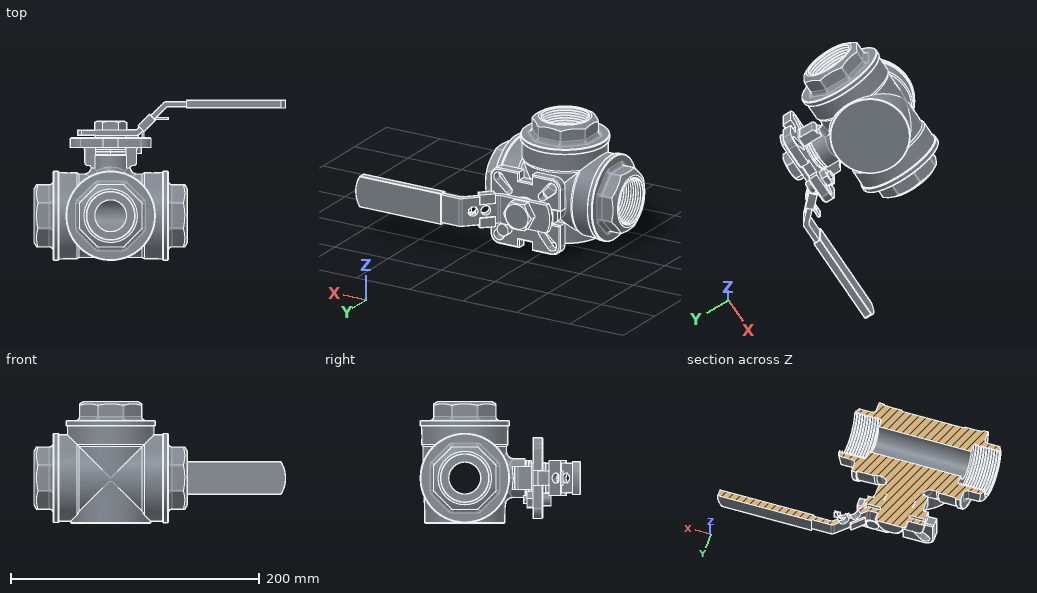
import cadquery as cq
import math

port_reach = 61.9
flange_outer = 46.5
flange_inner = 42.5
flange_dia = 72.0
flange_edge = 0.6
socket_dia = 70.0
socket_draft = 0.2
socket_end = 27.2
barrel_start = 25.4
barrel_radius = 33.7
octagon_flats = 50.3
octagon_edge = 1.2
octagon_foot = 3.0
cap_end_radius = 21.5
cap_chamfer_angle = 30

bore_dia = 25.5
thread_minor = 38.5
thread_major = 41.8
thread_mouth = 39.2
thread_pitch = 2.2
thread_turns = 10

base_bottom = -36.5
base_bottom_radius = 32.3
base_edge = 0.6

neck_dia = 31.5
neck_top = 48.7
neck_blend = 5.7
neck_joint_low = 28.5
leg_inner = 12.2
leg_outer = 21.0
leg_half_width = 9.3
leg_bottom = 40.4
leg_round = 2.5
leg_root_outer = 16.6
leg_root_bottom = 38.4
leg_root_chamfer = 1.6
leg_shoulder = 0.6
leg_shoulder_height = 1.2

plate_bottom = 55.0
plate_top = 63.1
plate_side = 65.3
plate_corner = 8.3
plate_edge = 1.0
notch_width = 12.2
notch_depth = 7.1
inner_hole_offset = 15.6
inner_hole_dia = 6.7
outer_hole_offset = 24.8
outer_hole_dia = 9.0

stem_dia = 24.0
gland_nut_corners = 28.6
gland_nut_bottom = 49.5
gland_nut_height = 1.8
gland_nut_gap = 0.5
washer_dia = 25.0
nut_corners = 26.0
nut_top = 76.5
nut_round_dia = 21.3

stop_offset = 17.2
stop_head_dia = 10.3
stop_head_top = 69.6
stop_shank_dia = 6.7
stop_shank_end = 47.5
stop_nut_flats = 13.0
stop_nut_turn = -5
stop_nut_end = 50.1

lever_thickness = 4.3
lever_width = 24.0
lever_low = 67.0
lever_high = 89.9
lever_back = -26.5
lever_bend = 21.5
lever_bend_round = 3.0
lever_end_dia = 49.0
lever_hole_dia = 8.0
lever_hole_heights = (75.5, 83.0)
grip_start = 61.3
grip_overlap = 2.0
grip_end = 141.0
grip_thickness = 6.5
grip_width = 26.5
grip_edge = 0.5

slide_length = 13.0
slide_thickness = 7.0
slide_shift = 0.2
slide_width = 28.5
slide_window = 11.8
slide_centre_height = 74.7
tab_thickness = 1.8
tab_width = 11.8
finger_tab_end = 46.5
finger_tab_height = 78.3
lock_tab_start = 25.2
lock_tab_bottom = 58.8

pick_margin = 0.2


def on_x(shape, sign):
    """Turn a shape built along +Z so that it points along +X or -X."""
    return shape.rotate((0, 0, 0), (0, 1, 0), 90 * sign)


def three_ways(shape):
    """Copies of a shape built along +Z that point along +Z, +X and -X."""
    return [shape, on_x(shape, 1), on_x(shape, -1)]


def disc(diameter, start, end, x=0, z=0):
    """Cylinder along Y between two heights."""
    plane = cq.Workplane("XZ", origin=(x, start, z))
    return plane.circle(diameter / 2).extrude(start - end)


def hexagon(corners, start, end, turn=0):
    """Hexagonal prism along Y, its corners on the X axis before it is turned."""
    prism = cq.Workplane("XZ", origin=(0, start, 0)).polygon(6, corners).extrude(start - end)
    return prism.rotate((0, 0, 0), (0, 1, 0), turn)


def block(x, y, z):
    """Box given by its (low, high) limits along each axis."""
    size = [high - low for low, high in (x, y, z)]
    corner = (x[0], y[0], z[0])
    return cq.Workplane("XY").box(*size, centered=False).translate(corner)


def port_body():
    """Barrel, socket and cap flange, as a turned shape along +Z."""
    socket_radius = socket_dia / 2
    flange_radius = flange_dia / 2
    return (
        cq.Workplane("XZ")
        .moveTo(0, 0)
        .lineTo(barrel_radius, 0)
        .lineTo(barrel_radius, barrel_start)
        .lineTo(socket_radius - socket_draft, socket_end)
        .lineTo(socket_radius, flange_inner - flange_edge)
        .lineTo(flange_radius - flange_edge, flange_inner - flange_edge)
        .lineTo(flange_radius, flange_inner)
        .lineTo(flange_radius, flange_outer - flange_edge)
        .lineTo(flange_radius - flange_edge, flange_outer)
        .lineTo(0, flange_outer)
        .close()
        .revolve(360, (0, 0, 0), (0, 1, 0))
    )


def port_cap():
    """Octagonal cap with a conical end."""
    cap = (
        cq.Workplane("XY", origin=(0, 0, flange_inner))
        .polygon(8, octagon_flats / math.cos(math.pi / 8))
        .extrude(port_reach - flange_inner)
        .rotate((0, 0, 0), (0, 0, 1), 180 / 8)
        .edges("|Z")
        .fillet(octagon_edge)
    )
    cone_height = port_reach - flange_outer
    cone_base = cap_end_radius + cone_height / math.tan(math.radians(cap_chamfer_angle))
    cone = (
        cq.Workplane("XZ")
        .moveTo(0, flange_inner)
        .lineTo(cone_base, flange_inner)
        .lineTo(cone_base, flange_outer)
        .lineTo(cap_end_radius, port_reach)
        .lineTo(0, port_reach)
        .close()
        .revolve(360, (0, 0, 0), (0, 1, 0))
    )
    return cap.intersect(cone)


def port():
    """One port along +Z with the foot of its octagon rounded."""
    reach = octagon_flats / 2 + octagon_foot
    foot = cq.selectors.BoxSelector(
        (-reach, -reach, flange_outer - pick_margin),
        (reach, reach, flange_outer + pick_margin),
        boundingbox=True,
    )
    return port_body().union(port_cap()).edges(foot).fillet(octagon_foot)


def port_bore():
    """Bore, ring-shaped thread grooves and countersunk mouth along +Z."""
    minor = thread_minor / 2
    major = thread_major / 2
    mouth = thread_mouth / 2
    thread_start = port_reach - (mouth - minor)
    thread_end = thread_start - thread_turns * thread_pitch
    profile = (
        cq.Workplane("XZ")
        .moveTo(0, 0)
        .lineTo(bore_dia / 2, 0)
        .lineTo(bore_dia / 2, thread_end)
        .lineTo(minor, thread_end)
    )
    for turn in range(thread_turns):
        valley = thread_end + (turn + 0.5) * thread_pitch
        profile = profile.lineTo(major, valley).lineTo(minor, valley + thread_pitch / 2)
    return (
        profile.lineTo(mouth, port_reach)
        .lineTo(0, port_reach)
        .close()
        .revolve(360, (0, 0, 0), (0, 1, 0))
    )


def base():
    """Closed, slightly tapered lower end of the body."""
    return (
        cq.Workplane("XY")
        .circle(barrel_radius)
        .workplane(offset=base_bottom)
        .circle(base_bottom_radius)
        .loft()
        .faces("<Z")
        .chamfer(base_edge)
    )


def blended_neck(barrels):
    """Add the neck and round its joint with the barrels."""
    radius = neck_dia / 2
    joint = cq.selectors.BoxSelector(
        (-radius - pick_margin, neck_joint_low, -radius - pick_margin),
        (radius + pick_margin, barrel_radius + pick_margin, radius + pick_margin),
        boundingbox=True,
    )
    return barrels.union(disc(neck_dia, 0, neck_top)).edges(joint).fillet(neck_blend)


def legs():
    """Mirrored pair of legs between the neck and the plate."""
    width = (-leg_half_width, leg_half_width)
    leg = block((leg_inner, leg_outer), (leg_bottom, plate_bottom), width)
    leg = leg.edges("|Z and >X and <Y").fillet(leg_round)
    root = block((0, leg_root_outer), (leg_root_bottom, leg_bottom), width)
    root = root.edges("|Z and >X and <Y").chamfer(leg_root_chamfer)
    shoulder = block(
        (leg_inner, leg_outer + leg_shoulder),
        (plate_bottom - leg_shoulder_height, plate_bottom),
        width,
    )
    leg = leg.union(root).union(shoulder)
    return leg.union(leg.mirror("YZ"))


def mounting_slot():
    """Two through holes of different size joined by their outer tangents, along +X."""
    inner = inner_hole_offset * math.sqrt(2)
    outer = outer_hole_offset * math.sqrt(2)
    inner_radius = inner_hole_dia / 2
    outer_radius = outer_hole_dia / 2
    tangent = math.asin((outer_radius - inner_radius) / (outer - inner))
    shift = math.sin(tangent)
    rise = math.cos(tangent)
    inner_x = inner - inner_radius * shift
    outer_x = outer - outer_radius * shift
    return (
        cq.Workplane("XZ", origin=(0, plate_bottom, 0))
        .moveTo(inner_x, inner_radius * rise)
        .lineTo(outer_x, outer_radius * rise)
        .threePointArc((outer + outer_radius, 0), (outer_x, -outer_radius * rise))
        .lineTo(inner_x, -inner_radius * rise)
        .threePointArc((inner - inner_radius, 0), (inner_x, inner_radius * rise))
        .close()
        .extrude(plate_bottom - plate_top)
    )


def plate():
    """Square plate with a notch in each side and a slot towards each corner."""
    half = plate_side / 2
    height = plate_top - plate_bottom
    shape = (
        cq.Workplane("XZ", origin=(0, plate_bottom, 0))
        .rect(plate_side, plate_side)
        .extrude(-height)
        .edges("|Y")
        .fillet(plate_corner)
    )
    notch = block(
        (half - notch_depth, half),
        (plate_bottom, plate_top),
        (-notch_width / 2, notch_width / 2),
    )
    slot = mounting_slot()
    for side in range(4):
        shape = shape.cut(notch.rotate((0, 0, 0), (0, 1, 0), 90 * side))
    shape = shape.faces(">Y").edges().chamfer(plate_edge)
    for side in range(4):
        shape = shape.cut(slot.rotate((0, 0, 0), (0, 1, 0), 90 * side + 45))
    return shape


def stem():
    shape = disc(stem_dia, neck_top, plate_top)
    for index in range(2):
        start = gland_nut_bottom + index * (gland_nut_height + gland_nut_gap)
        shape = shape.union(hexagon(gland_nut_corners, start, start + gland_nut_height, 30))
    return shape.union(disc(washer_dia, plate_top, lever_low - lever_thickness / 2))


def stem_nut():
    seat = lever_low + lever_thickness / 2
    inset = (nut_corners - nut_round_dia) / 2
    drop = inset * math.tan(math.radians(30))
    limit = disc(nut_corners, seat, nut_top).faces(">Y").chamfer(drop, inset)
    return hexagon(nut_corners, seat, nut_top).intersect(limit)


def stop_screw():
    x = stop_offset
    z = -stop_offset
    head = disc(stop_head_dia, plate_bottom, stop_head_top, x, z)
    shank = disc(stop_shank_dia, stop_shank_end, plate_bottom, x, z)
    nut_corner_dia = stop_nut_flats / math.cos(math.pi / 6)
    nut = hexagon(nut_corner_dia, stop_nut_end, plate_bottom, stop_nut_turn)
    nut = nut.translate((x, 0, z))
    return head.union(shank).union(nut)


def rounded_bar(start, end, middle, thickness, width, direction):
    """Bar along X with a shallow arc for its far end."""
    half = width / 2
    end_radius = lever_end_dia / 2
    sagitta = end_radius - math.sqrt(end_radius**2 - half**2)
    shoulder = end - direction * sagitta
    return (
        cq.Workplane("XZ", origin=(0, middle - thickness / 2, 0))
        .moveTo(start, -half)
        .lineTo(shoulder, -half)
        .threePointArc((end, 0), (shoulder, half))
        .lineTo(start, half)
        .close()
        .extrude(-thickness)
    )


def slope_x(height):
    """X of the lever mid-plane at a height on its sloping part."""
    return lever_bend + height - lever_low


def lever():
    """Strip with two opposite bends, rounded at the back and gripped in front."""
    half = lever_thickness / 2
    shift = half * math.tan(math.radians(22.5))
    upper_bend = slope_x(lever_high)
    strip = (
        cq.Workplane("XY", origin=(0, 0, -lever_width / 2))
        .moveTo(0, lever_low - half)
        .lineTo(lever_bend + shift, lever_low - half)
        .lineTo(upper_bend + shift, lever_high - half)
        .lineTo(grip_start + grip_overlap, lever_high - half)
        .lineTo(grip_start + grip_overlap, lever_high + half)
        .lineTo(upper_bend - shift, lever_high + half)
        .lineTo(lever_bend - shift, lever_low + half)
        .lineTo(0, lever_low + half)
        .close()
        .extrude(lever_width)
    )
    bends = cq.selectors.BoxSelector(
        (lever_bend - lever_thickness, lever_low - lever_thickness, -lever_width),
        (upper_bend + lever_thickness, lever_high + lever_thickness, lever_width),
    )
    strip = strip.edges("|Z").edges(bends).fillet(lever_bend_round)
    back = rounded_bar(0, lever_back, lever_low, lever_thickness, lever_width, -1)
    grip = rounded_bar(grip_start, grip_end, lever_high, grip_thickness, grip_width, 1)
    return strip.union(back).union(grip.edges("|X").chamfer(grip_edge))


def on_slope(shape, height):
    """Tilt a shape from the X axis onto the sloping part of the lever."""
    tilted = shape.rotate((0, 0, 0), (0, 0, 1), 45)
    return tilted.translate((slope_x(height), height, 0))


def slide():
    """Folded clip, with a window on its upper face and two tabs."""
    clip = cq.Workplane("XY").box(slide_length, slide_thickness, slide_width)
    wall = (slide_thickness - lever_thickness) / 2 + slide_shift
    window = cq.Workplane("XY").box(slide_length, wall, slide_window)
    clip = clip.cut(window.translate((0, (slide_thickness - wall) / 2, 0)))
    clip = on_slope(clip.translate((0, slide_shift, 0)), slide_centre_height)
    tab_z = (-tab_width / 2, tab_width / 2)
    finger = block(
        (slope_x(finger_tab_height), finger_tab_end),
        (finger_tab_height - tab_thickness / 2, finger_tab_height + tab_thickness / 2),
        tab_z,
    )
    lock = block(
        (lock_tab_start, lock_tab_start + tab_thickness),
        (lock_tab_bottom, lever_low + lever_thickness / 2),
        tab_z,
    )
    return clip.union(finger).union(lock)


def lever_with_slide():
    shape = lever().union(slide())
    for height in lever_hole_heights:
        hole = disc(lever_hole_dia, -slide_thickness, slide_thickness)
        shape = shape.cut(on_slope(hole, height))
    return shape


body = base()
for part in three_ways(port()):
    body = body.union(part)
body = blended_neck(body).union(legs())
for bore in three_ways(port_bore()):
    body = body.cut(bore)

result = body
for part in (plate(), stem(), stop_screw(), lever_with_slide(), stem_nut()):
    result = result.union(part)